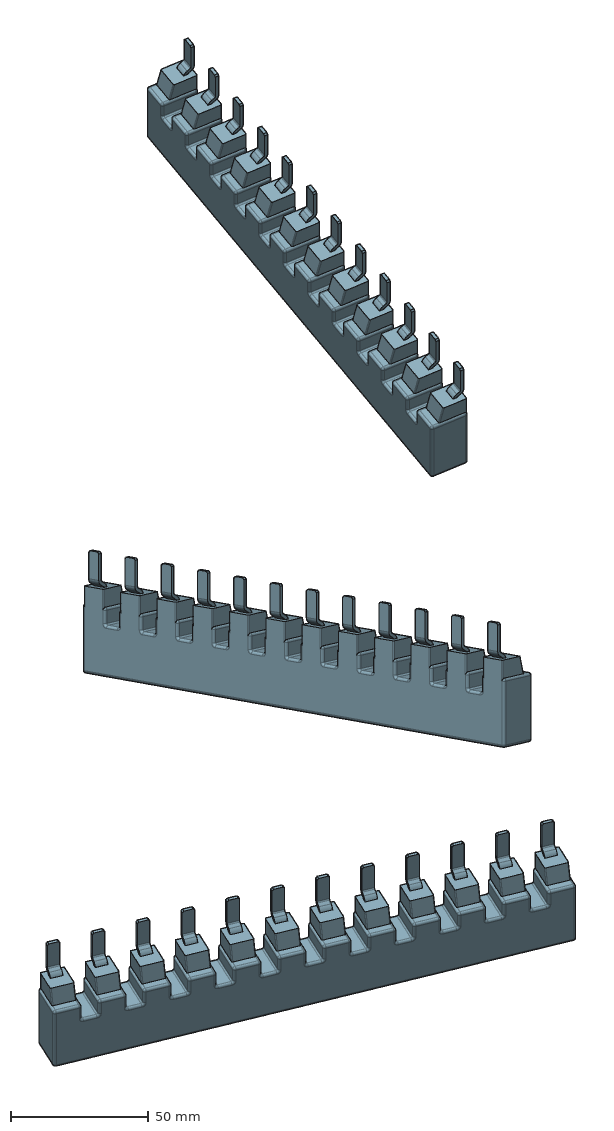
import cadquery as cq
import math

length = 204.5
depth = 15.5
total_height = 46.0
body_height = 25.8
notch_floor_height = 19.2
edge_radius = 1.0
notch_corner_radius = 0.6

tooth_count = 12
tooth_pitch = 17.5
tooth_width = length - (tooth_count - 1) * tooth_pitch
notch_width = tooth_pitch - tooth_width
tooth_centers = [(i - (tooth_count - 1) / 2) * tooth_pitch for i in range(tooth_count)]
notch_centers = [x + tooth_pitch / 2 for x in tooth_centers[:-1]]

block_top = 32.5
block_width = 9.5
block_top_depth = 10.0
block_base_depth = 11.9
block_edge_radius = 0.5

pin_width = 5.0
pin_thickness = 1.5
pin_tip_chamfer = 0.6
pin_root_front = 5.0
pin_root_height = 28.6
back_bend_height = 34.4
bend_slope = math.radians(31)
upper_bend_radius = 0.6
lower_bend_radius = 2.5


def make_body():
    body = cq.Workplane("XY").box(length, depth, body_height, centered=(True, False, False))
    body = body.translate((0, -depth, 0))
    for x in notch_centers:
        notch = (
            cq.Workplane("XY", origin=(x, -depth / 2, notch_floor_height))
            .box(notch_width, depth, body_height, centered=(True, True, False))
            .edges("|Y and <Z")
            .fillet(notch_corner_radius)
        )
        body = body.cut(notch)
    corner_zone = cq.selectors.BoxSelector(
        (-length / 2 + edge_radius, -depth + edge_radius, notch_floor_height - edge_radius),
        (length / 2 - edge_radius, -edge_radius, notch_floor_height + edge_radius),
    )
    return body.edges(cq.selectors.InverseSelector(corner_zone)).fillet(edge_radius)


def make_block():
    profile = [
        (0, body_height - edge_radius),
        (0, block_top),
        (-block_top_depth, block_top),
        (-block_base_depth, body_height),
        (-block_base_depth, body_height - edge_radius),
    ]
    block = cq.Workplane("YZ").polyline(profile).close().extrude(block_width / 2, both=True)
    upright_edges = cq.selectors.BoxSelector(
        (-block_width, -depth, body_height - edge_radius / 2),
        (block_width, depth, block_top - block_edge_radius),
    )
    return block.edges("not |X").edges(upright_edges).fillet(block_edge_radius)


def make_pin():
    rise = math.tan(bend_slope)
    slope_offset = pin_thickness / math.cos(bend_slope)
    pin_root_back = pin_root_front - pin_thickness
    lower_corner = back_bend_height - pin_root_back * rise
    inner_corner = back_bend_height + slope_offset - pin_thickness * rise
    outer_corner = back_bend_height + slope_offset - pin_root_front * rise
    profile = [
        (0, total_height),
        (0, back_bend_height),
        (-pin_root_back, lower_corner),
        (-pin_root_back, pin_root_height),
        (-pin_root_front, pin_root_height),
        (-pin_root_front, outer_corner),
        (-pin_thickness, inner_corner),
        (-pin_thickness, total_height),
    ]
    pin = cq.Workplane("YZ").polyline(profile).close().extrude(pin_width / 2, both=True)

    bends = [
        ((0, back_bend_height), upper_bend_radius + pin_thickness),
        ((-pin_thickness, inner_corner), upper_bend_radius),
        ((-pin_root_back, lower_corner), lower_bend_radius),
        ((-pin_root_front, outer_corner), lower_bend_radius + pin_thickness),
    ]
    for (y, z), radius in bends:
        pin = pin.edges(cq.selectors.NearestToPointSelector((0, y, z))).fillet(radius)
    return pin.faces(">Z").edges("|Y").chamfer(pin_tip_chamfer)


terminal = make_block().union(make_pin())
result = make_body()
for x in tooth_centers:
    result = result.union(terminal.translate((x, 0, 0)))